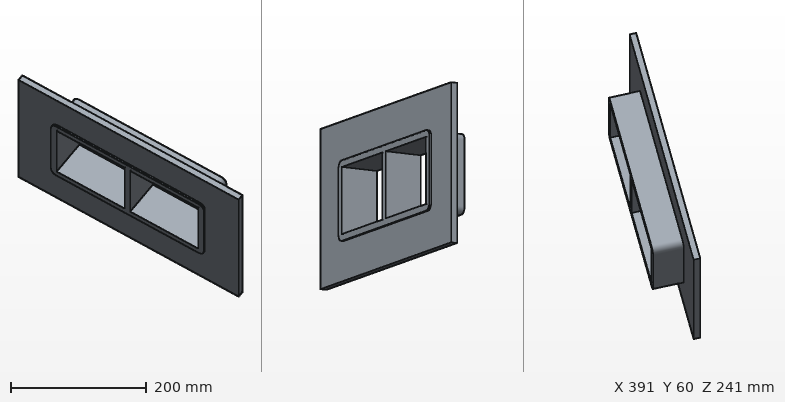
import cadquery as cq

plate_width = 391.0
plate_height = 241.0
plate_thickness = 10.0

plate_margin = 60.0
sleeve_width = plate_width - 2 * plate_margin
sleeve_height = plate_height - 2 * plate_margin
sleeve_depth = 60.0
sleeve_corner_radius = 10.0
front_projection = 3.0

window_count = 2
wall = 10.0
window_width = (sleeve_width - (window_count + 1) * wall) / window_count
window_height = sleeve_height - 2 * wall
window_pitch = window_width + wall


def block(width, depth, height, front_y):
    """Box centred in X and Z, extending toward +Y from front_y."""
    return cq.Workplane("XY").box(width, depth, height, centered=(True, False, True)).translate((0, front_y, 0))


def make_plate():
    return block(plate_width, plate_thickness, plate_height, 0)


def make_sleeve():
    sleeve = block(sleeve_width, sleeve_depth, sleeve_height, -front_projection)
    return sleeve.edges("|Y").fillet(sleeve_corner_radius)


def make_window(index):
    center_x = (index - (window_count - 1) / 2) * window_pitch
    window = block(window_width, sleeve_depth, window_height, -front_projection)
    return window.translate((center_x, 0, 0))


result = make_plate().union(make_sleeve())
for window_index in range(window_count):
    result = result.cut(make_window(window_index))